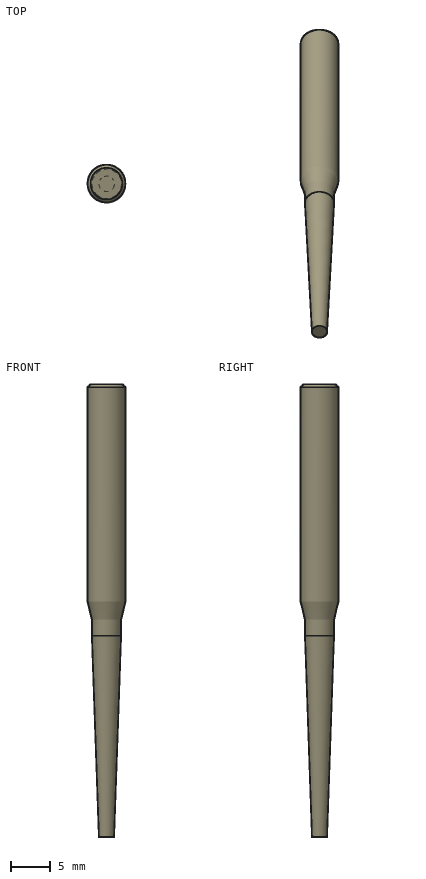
import cadquery as cq
import math

total_length = 57.2
shank_bottom = 29.75
neck_top = 27.45
cutter_length = 25.4

shank_diameter = 4.8
neck_diameter = 3.7
taper_angle = 2.0
end_chamfer = 0.4

shank_radius = shank_diameter / 2
neck_radius = neck_diameter / 2
tip_radius = neck_radius - cutter_length * math.tan(math.radians(taper_angle))


def make_cutter():
    """Tapered cutting end, narrowing from the neck down to a flat tip."""
    return (
        cq.Workplane("XZ")
        .lineTo(tip_radius, 0)
        .lineTo(neck_radius, cutter_length)
        .lineTo(0, cutter_length)
        .close()
        .revolve(360, (0, 0), (0, 1))
    )


def make_holder():
    """Cylindrical neck, conical shoulder and shank with a chamfered top end."""
    return (
        cq.Workplane("XZ")
        .moveTo(0, cutter_length)
        .lineTo(neck_radius, cutter_length)
        .lineTo(neck_radius, neck_top)
        .lineTo(shank_radius, shank_bottom)
        .lineTo(shank_radius, total_length)
        .lineTo(0, total_length)
        .close()
        .revolve(360, (0, 0), (0, 1))
        .faces(">Z")
        .chamfer(end_chamfer)
    )


cutter = make_cutter()
holder = make_holder()

result = cq.Compound.makeCompound([cutter.val(), holder.val()])